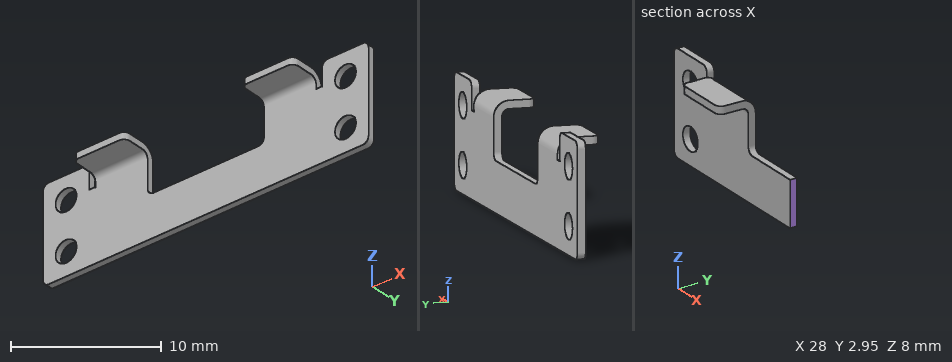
import cadquery as cq

length = 28.0
height = 8.0
thickness = 0.6
corner_radius = 0.5

hole_diameter = 1.8
hole_inset = 2.0

ear_width = 4.0
slot_width = 0.5
slot_depth = 2.0
notch_width = 10.0
notch_floor = 3.55

tab_drop = 0.5
tab_reach = 2.95
bend_inner_radius = 0.5
bend_outer_radius = bend_inner_radius + thickness
tab_top = height - tab_drop
tab_outer_x = length / 2 - ear_width - slot_width
tab_inner_x = notch_width / 2
tab_width = tab_outer_x - tab_inner_x
bend_base = tab_top - bend_outer_radius


def block(x_min, x_max, z_min, z_max):
    """Sheet-thick block whose back face lies on y = 0."""
    return cq.Workplane("XY").box(
        x_max - x_min, thickness, z_max - z_min, centered=False
    ).translate((x_min, -thickness, z_min))


def make_plate():
    """Flat sheet with rounded ears, a central notch and relief slots."""
    half_length = length / 2
    ear_inner_x = half_length - ear_width
    plate = block(-half_length, half_length, 0, height)
    plate = plate.cut(block(-ear_inner_x, ear_inner_x, bend_base, height))
    plate = plate.edges("|Y").edges("<Z or >Z").fillet(corner_radius)

    notch = block(-tab_inner_x, tab_inner_x, notch_floor, height)
    plate = plate.cut(notch.edges("|Y and <Z").fillet(corner_radius))

    slot_floor = height - slot_depth
    for slot_start in (-ear_inner_x, tab_outer_x):
        plate = plate.cut(block(slot_start, slot_start + slot_width, slot_floor, height))
    return plate


def make_tab(x_min):
    """Quarter-turn bend followed by a flat lip with rounded free corners."""
    diagonal = 0.5 ** 0.5
    bend_center_y = -bend_outer_radius

    def bend_midpoint(radius):
        return (bend_center_y + radius * diagonal, bend_base + radius * diagonal)

    tab = (
        cq.Workplane("YZ", origin=(x_min, 0, 0))
        .moveTo(0, bend_base)
        .threePointArc(bend_midpoint(bend_outer_radius), (bend_center_y, tab_top))
        .lineTo(-tab_reach, tab_top)
        .lineTo(-tab_reach, tab_top - thickness)
        .lineTo(bend_center_y, tab_top - thickness)
        .threePointArc(bend_midpoint(bend_inner_radius), (-thickness, bend_base))
        .close()
        .extrude(tab_width)
    )
    return tab.edges("|Z and <Y").fillet(corner_radius)


def make_holes():
    hole_x = length / 2 - hole_inset
    centers = [(x, z) for x in (-hole_x, hole_x) for z in (hole_inset, height - hole_inset)]
    return (
        cq.Workplane("XZ").pushPoints(centers).circle(hole_diameter / 2).extrude(thickness)
    )


result = make_plate()
for tab_start in (-tab_outer_x, tab_inner_x):
    result = result.union(make_tab(tab_start))
result = result.cut(make_holes())